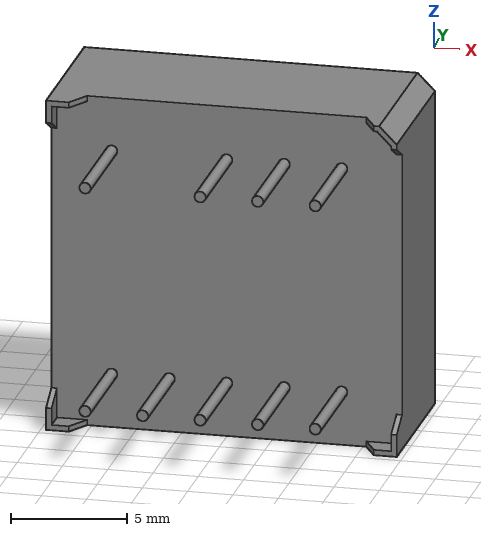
import cadquery as cq

width = 15.5
height = 15.0
body_depth = 6.2
corner_chamfer = 0.78

foot_height = 1.0
foot_wall = 0.25
foot_tip_length = 1.0
foot_root_length = 1.58

pin_diameter = 0.5
pin_length = 5.0
pin_pitch = 2.54
row_spacing = 4 * pin_pitch
lower_row = (-2, -1, 0, 1, 2)
upper_row = (-2, 0, 1, 2)


def outline():
    """Rectangle with one bevelled corner, on the pin face at Y = 0."""
    right = width / 2
    top = height / 2
    return cq.Workplane("XZ").polyline(
        [
            (-right, -top),
            (right, -top),
            (right, top - corner_chamfer),
            (right - corner_chamfer, top),
            (-right, top),
        ]
    ).close()


def gap_between_feet(plane, side_length, through_length):
    """Flared cutter that clears the wall between the two feet of one side.

    The second axis of the plane is +Y, so the profile widens toward the foot tips.
    """
    half_root = side_length / 2 - foot_root_length
    half_tip = side_length / 2 - foot_tip_length
    profile = [
        (-half_root, 0),
        (half_root, 0),
        (half_tip, -foot_height),
        (-half_tip, -foot_height),
    ]
    return cq.Workplane(plane).polyline(profile).close().extrude(through_length / 2, both=True)


def feet():
    """Thin wall around the pin face, kept only at the corners."""
    solid_rim = outline().extrude(foot_height)
    inside = outline().offset2D(-foot_wall).extrude(foot_height)
    rim = solid_rim.cut(inside)
    rim = rim.cut(gap_between_feet("XY", width, height))
    return rim.cut(gap_between_feet("ZY", height, width))


def pins():
    """Round pins standing on the pin face."""
    centres = [(position * pin_pitch, -row_spacing / 2) for position in lower_row]
    centres += [(position * pin_pitch, row_spacing / 2) for position in upper_row]
    return cq.Workplane("XZ").pushPoints(centres).circle(pin_diameter / 2).extrude(pin_length)


body = outline().extrude(-body_depth)
result = body.union(feet()).union(pins())